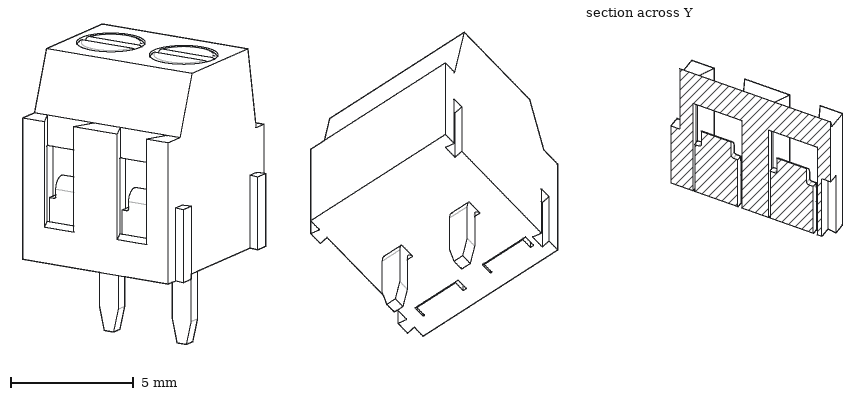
import cadquery as cq


total_height = 12.2
housing_width = 7.0
housing_depth = 7.4
housing_height = 8.5
front_ledge_height = 6.0
front_ledge_depth = 0.92
back_ledge_height = 5.0
back_ledge_depth = 0.61
top_front_y = 1.84
top_back_inset = 1.25
top_back_y = housing_depth - top_back_inset

pole_count = 2
pole_pitch = housing_width / pole_count
terminal_shift = 0.05

entry_front_width = 1.4
entry_back_width = 2.25
entry_floor_z = 1.52
pocket_top_z = 4.71
metal_thickness = 0.5
plate_front_y = 0.79
plate_back_gap = 0.04
pocket_depth = metal_thickness + plate_back_gap

plate_width = 2.01
plate_shoulder_z = 2.55
tab_bend_radius = 0.49
tab_width = 1.4
tab_corner_radius = 0.1
tab_top_z = 3.44

screw_diameter = 2.8
screw_y = 4.0
screw_edge_radius = 0.2
screw_slot_width = 0.55
screw_slot_depth = 0.6

pin_length = total_height - housing_height
pin_width = 0.92
pin_tip_width = 0.45
pin_taper_length = 1.01
pin_front_y = 3.77
pin_back_y = pin_front_y + metal_thickness
pin_bend_radius = 0.5
pin_bend_drop = 0.48

rib_reach = 0.4
rib_root_width = 0.5
rib_tip_width = 0.63
rib_height = 3.1
rib_inset = 0.83


def make_housing():
    outline = [
        (0, 0),
        (housing_depth, 0),
        (housing_depth, back_ledge_height),
        (housing_depth - back_ledge_depth, back_ledge_height),
        (top_back_y, housing_height),
        (top_front_y, housing_height),
        (front_ledge_depth, front_ledge_height),
        (0, front_ledge_height),
    ]
    return cq.Workplane("YZ").polyline(outline).close().extrude(housing_width)


def make_dovetail(root_x, y):
    """Upright dovetail bar that widens towards +X."""
    outline = [
        (root_x, y - rib_root_width / 2),
        (root_x + rib_reach, y - rib_tip_width / 2),
        (root_x + rib_reach, y + rib_tip_width / 2),
        (root_x, y + rib_root_width / 2),
    ]
    return cq.Workplane("XY").polyline(outline).close().extrude(rib_height)


def make_wire_entry(x):
    """Tapered notch in the front ledge together with the pocket behind it."""
    outline = [
        (x - entry_front_width / 2, 0),
        (x + entry_front_width / 2, 0),
        (x + entry_back_width / 2, front_ledge_depth),
        (x - entry_back_width / 2, front_ledge_depth),
    ]
    notch_height = front_ledge_height - entry_floor_z
    notch = (
        cq.Workplane("XY", origin=(0, 0, entry_floor_z))
        .polyline(outline).close().extrude(notch_height)
    )
    pocket = cq.Workplane("XY").box(
        entry_back_width, pocket_depth, pocket_top_z, centered=(True, False, False)
    ).translate((x, plate_front_y, 0))
    return notch.union(pocket)


def make_guard_plate(x):
    """Shouldered plate whose narrow upper tab curves over towards the back."""
    half_plate = plate_width / 2
    half_tab = tab_width / 2
    corner_end_x = half_tab + tab_corner_radius
    corner_end_z = plate_shoulder_z + tab_corner_radius
    plate = (
        cq.Workplane("XZ", origin=(x, plate_front_y + metal_thickness, 0))
        .moveTo(-half_plate, 0)
        .lineTo(half_plate, 0)
        .lineTo(half_plate, plate_shoulder_z)
        .lineTo(corner_end_x, plate_shoulder_z)
        .radiusArc((half_tab, corner_end_z), tab_corner_radius)
        .lineTo(half_tab, tab_top_z)
        .lineTo(-half_tab, tab_top_z)
        .lineTo(-half_tab, corner_end_z)
        .radiusArc((-corner_end_x, plate_shoulder_z), tab_corner_radius)
        .lineTo(-half_plate, plate_shoulder_z)
        .close()
        .extrude(metal_thickness)
    )
    return plate.faces(">Z").edges("<Y").fillet(tab_bend_radius)


def make_pin(x):
    """Tapered pin with a bend at its top that turns forward into the housing."""
    taper_start_z = pin_taper_length - pin_length
    outline = [
        (x - pin_width / 2, -pin_bend_drop),
        (x - pin_width / 2, taper_start_z),
        (x - pin_tip_width / 2, -pin_length),
        (x + pin_tip_width / 2, -pin_length),
        (x + pin_width / 2, taper_start_z),
        (x + pin_width / 2, -pin_bend_drop),
    ]
    blade = (
        cq.Workplane("XZ", origin=(0, pin_back_y, 0))
        .polyline(outline).close().extrude(metal_thickness)
    )
    outer_radius = pin_bend_radius + metal_thickness
    bend_plane = cq.Workplane(
        "YZ", origin=(x - pin_width / 2, pin_front_y - pin_bend_radius, -pin_bend_drop)
    )
    ring = bend_plane.circle(outer_radius).circle(pin_bend_radius).extrude(pin_width)
    quarter = bend_plane.rect(outer_radius, outer_radius, centered=False).extrude(pin_width)
    return blade.union(ring.intersect(quarter))


def make_screw_recess():
    """Round recess with its rim centred on the origin, as deep as the screw slot."""
    return cq.Workplane("XY").circle(screw_diameter / 2).extrude(-screw_slot_depth)


def make_screw_head():
    """Round-edged slotted head that fills the recess flush with its rim."""
    head = make_screw_recess().faces(">Z").edges().fillet(screw_edge_radius)
    slot = cq.Workplane("XY").rect(screw_diameter, screw_slot_width).extrude(-screw_slot_depth)
    return head.cut(slot)


result = make_housing()

for rib_y in (rib_inset, housing_depth - rib_inset):
    result = result.cut(make_dovetail(0, rib_y))
    result = result.union(make_dovetail(housing_width, rib_y))

for pole in range(pole_count):
    pole_x = (pole + 0.5) * pole_pitch
    terminal_x = pole_x + terminal_shift
    screw_place = (pole_x, screw_y, housing_height)

    result = result.cut(make_wire_entry(pole_x))
    result = result.union(make_guard_plate(terminal_x))
    result = result.union(make_pin(terminal_x))
    result = result.cut(make_screw_recess().translate(screw_place))
    result = result.union(make_screw_head().translate(screw_place))